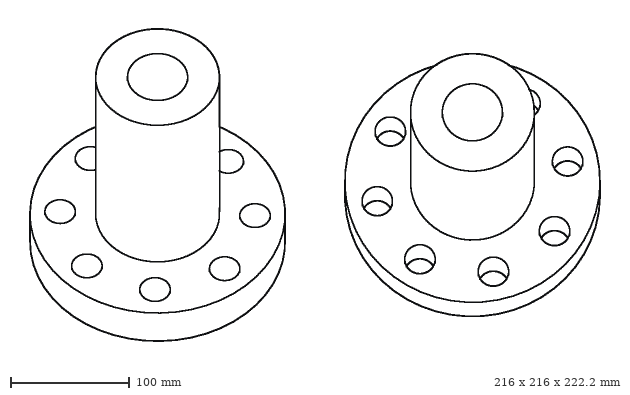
import cadquery as cq

total_height = 222.2
flange_diameter = 216.0
flange_thickness = 38.0
neck_diameter = 105.0
bore_diameter = 51.0

bolt_count = 8
bolt_circle_diameter = 165.0
bolt_hole_diameter = 25.8


def make_flange():
    """Round base plate resting on the XY plane."""
    return cq.Workplane("XY").circle(flange_diameter / 2).extrude(flange_thickness)


def make_neck():
    """Tall cylinder running from the flange underside to the top of the part."""
    return cq.Workplane("XY").circle(neck_diameter / 2).extrude(total_height)


def make_bore():
    """Central hole through the full height."""
    return cq.Workplane("XY").circle(bore_diameter / 2).extrude(total_height)


def make_bolt_holes():
    """Ring of through holes, the first one on the +X axis."""
    return (
        cq.Workplane("XY")
        .polarArray(bolt_circle_diameter / 2, 0, 360, bolt_count)
        .circle(bolt_hole_diameter / 2)
        .extrude(flange_thickness)
    )


result = make_flange().union(make_neck()).cut(make_bore()).cut(make_bolt_holes())